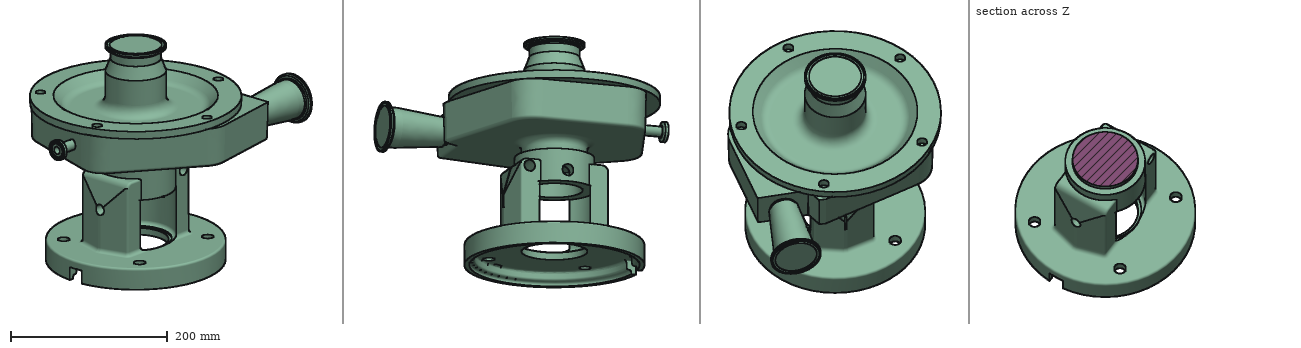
import cadquery as cq
import math

diagonal_share = math.sqrt(0.5)

base_height = 28.7
collar_bottom = 98.3
leg_top = 127.2
collar_top = 140.5
casing_bottom = 160.0
flange_bottom = 212.0
flange_top = 222.0
inlet_top = 291.0

base_radius = 115.0
base_edge_fillet = 3.0
base_bore_radius = 46.0
lip_radius = 42.0
lip_top = 27.0
recess_top = 17.7
recess_radius = 102.0
ogee_top = 8.7
ogee_radius = 3.3
base_hole_diameter = 15.0
base_hole_circle_radius = 92.0
base_hole_count = 4
base_hole_start_angle = 45.0
drain_slot_width = 20.4
drain_slot_height = recess_top
drain_slot_fillet = 1.5

collar_radius = 51.0
collar_bore_radius = 36.0
collar_bore_top = 130.0
collar_hole_diameter = 15.0
collar_hole_z = 113.2
leg_half_width = 39.0
leg_inner_radius = 52.0
leg_seat_radius = 49.0
leg_ridge_y = 70.1
leg_slant = 16.0
leg_ridge_flat_half_width = 2.3
leg_facet_start_z = 84.5
leg_top_fillet = 10.0
leg_edge_fillet = 3.0
leg_root_fillet = 5.5
selection_margin = 0.1
leg_hole_diameter = 13.8
leg_hole_z = 85.3
clamp_hole_diameter = 14.5
clamp_hole_y = 47.7
clamp_hole_z = 117.6
clamp_slit_width = 2.5
clamp_slit_bottom = 70.0

neck_radius = 42.0
neck_fillet = 10.0

casing_apothem = 115.0
casing_corner_radius = 35.0
casing_draft = 1.2
casing_bottom_fillet = 4.5
corner_step = 72.0
plain_corners = (2, 3, 4)
volute_reach_x = 140.42
volute_slope = 9.2
outlet_face_y = 114.8
rear_step_x = 58.0
rear_lug_x = 47.5
rear_lug_y = 133.3

flange_radius = 135.0
flange_hole_diameter = 12.7
flange_hole_circle_radius = 122.0
flange_hole_count = 5
dish_radius = 105.0
dish_depth = 15.0
dish_fillet = 15.0
dish_wall_angle = 45.0

inlet_radius = 39.0
inlet_neck_radius = 32.4
inlet_cone_bottom = 256.0
inlet_cone_top = 273.0
inlet_groove_radius = 35.0

outlet_x = 90.5
outlet_z = 186.5
outlet_end_y = 200.0
outlet_flange_radius = 32.3
outlet_pipe_radius = 25.8
outlet_groove_radius = 28.6
outlet_cone_end_y = 182.0
outlet_cone_start_y = 119.0
outlet_cone_start_radius = 19.2
outlet_root_radius = 16.6

rim_thickness = 2.8
rim_bevel_width = 2.2
rim_bevel_height = 1.6
rim_root_width = 1.5
rim_root_height = 0.85
rim_height = 7.0
rim_groove_half_width = 1.65

drain_z = 188.2
drain_end_y = -150.5
drain_pipe_radius = 6.8
drain_bore_radius = 4.9
drain_flange_radius = 13.2
drain_flange_thickness = 4.4
drain_bevel_top_radius = 8.5
drain_bevel_height = 2.0
drain_groove_radius = 10.0
drain_groove_half_width = 1.1
drain_inner_y = -100.0
drain_bore_depth = 28.0


def cylinder(radius, bottom, top):
    return cq.Workplane("XY").workplane(offset=bottom).circle(radius).extrude(top - bottom)


def polar(radius, angle):
    return radius * math.cos(math.radians(angle)), radius * math.sin(math.radians(angle))


def ring_groove(radius, half_width, level):
    profile = cq.Workplane("XZ").center(radius, level).circle(half_width)
    return profile.revolve(360, (-radius, 0, 0), (-radius, 1, 0))


def revolve_profile(profile):
    return profile.close().revolve(360, (0, 0, 0), (0, 1, 0))


def clamp_rim(profile, rim_radius, pipe_radius, end):
    """Continue a radius-height profile from a pipe wall over a clamp rim to the axis."""
    bevel_level = end - rim_thickness - rim_bevel_height
    return (
        profile.lineTo(pipe_radius, end - rim_height)
        .lineTo(pipe_radius + rim_root_width, bevel_level - rim_root_height)
        .lineTo(rim_radius - rim_bevel_width, bevel_level)
        .lineTo(rim_radius, end - rim_thickness)
        .lineTo(rim_radius, end)
        .lineTo(0, end)
    )


def make_base():
    base = cylinder(base_radius, 0, base_height)
    return base.faces(">Z").edges().fillet(base_edge_fillet)


def cut_base_openings(body):
    """Stepped bore, wide recess under the plate with a rounded rim, bolt holes and drain slot."""
    step_radius = recess_radius + ogee_radius
    mouth_radius = recess_radius + 2 * ogee_radius
    diagonal = ogee_radius * diagonal_share
    profile = (
        cq.Workplane("XZ")
        .moveTo(0, 0)
        .lineTo(mouth_radius, 0)
        .lineTo(mouth_radius, ogee_top - 2 * ogee_radius)
        .threePointArc(
            (step_radius + diagonal, ogee_top - 2 * ogee_radius + diagonal),
            (step_radius, ogee_top - ogee_radius),
        )
        .threePointArc(
            (step_radius - diagonal, ogee_top - diagonal),
            (recess_radius, ogee_top),
        )
        .lineTo(recess_radius, recess_top - ogee_radius)
        .threePointArc(
            (recess_radius - ogee_radius + diagonal, recess_top - ogee_radius + diagonal),
            (recess_radius - ogee_radius, recess_top),
        )
        .lineTo(lip_radius, recess_top)
        .lineTo(lip_radius, lip_top)
        .lineTo(base_bore_radius, lip_top)
        .lineTo(base_bore_radius, base_height)
        .lineTo(0, base_height)
    )
    holes = (
        cq.Workplane("XY")
        .polarArray(base_hole_circle_radius, base_hole_start_angle, 360, base_hole_count)
        .circle(base_hole_diameter / 2)
        .extrude(base_height)
    )
    slot = (
        cq.Workplane("XY")
        .box(drain_slot_width, base_radius, drain_slot_height, centered=(True, False, False))
        .edges("|Y and >Z")
        .fillet(drain_slot_fillet)
        .translate((0, -base_radius, 0))
    )
    return body.cut(revolve_profile(profile)).cut(holes).cut(slot)


def make_leg():
    """The leg on the +Y side, with its outer ridge and the slanted facet on top."""
    slant = math.tan(math.radians(leg_slant))
    corner_y = leg_ridge_y - leg_half_width * slant
    flat_y = leg_ridge_y - leg_ridge_flat_half_width * slant
    facet_top_y = leg_ridge_y - (leg_top - leg_facet_start_z) * slant
    plan = [
        (-leg_half_width, 0),
        (leg_half_width, 0),
        (leg_half_width, corner_y),
        (leg_ridge_flat_half_width, flat_y),
        (-leg_ridge_flat_half_width, flat_y),
        (-leg_half_width, corner_y),
    ]
    leg = cq.Workplane("XY").polyline(plan).close().extrude(leg_top)
    side = [
        (0, 0),
        (leg_ridge_y, 0),
        (leg_ridge_y, leg_facet_start_z),
        (facet_top_y, leg_top),
        (0, leg_top),
    ]
    side_limit = cq.Workplane("YZ").polyline(side).close().extrude(leg_half_width, both=True)
    leg = leg.intersect(side_limit)
    leg = leg.faces(">Z").edges(">Y").fillet(leg_top_fillet)
    outer_sides = leg.faces("<X or >X").edges("not(<Z or <Y)")
    leg = outer_sides.fillet(leg_edge_fillet)
    leg = leg.cut(cylinder(leg_inner_radius, 0, collar_bottom))
    return leg.cut(cylinder(leg_seat_radius, collar_bottom, leg_top))


def make_stand():
    """Base plate and two opposite legs, with fillets where the legs stand on the plate."""
    leg = make_leg()
    stand = make_base()
    for angle in (0, 180):
        stand = stand.union(leg.rotate((0, 0, 0), (0, 0, 1), angle))
    root_x = leg_half_width + selection_margin
    root_y = leg_ridge_y + selection_margin
    root_zone = cq.selectors.BoxSelector(
        (-root_x, -root_y, base_height - selection_margin),
        (root_x, root_y, base_height + selection_margin),
        boundingbox=True,
    )
    stand = stand.edges(root_zone).fillet(leg_root_fillet)
    return cut_base_openings(stand)


def make_collar():
    collar = cylinder(collar_radius, collar_bottom, collar_top)
    bore = cylinder(collar_bore_radius, collar_bottom, collar_bore_top)
    side_hole = (
        cq.Workplane("YZ")
        .center(0, collar_hole_z)
        .circle(collar_hole_diameter / 2)
        .extrude(-collar_radius)
    )
    return collar.cut(bore).cut(side_hole)


def cut_leg_openings(body):
    """Ridge hole in the -Y leg; clamping slit and cross hole in the +Y leg."""
    ridge_hole = (
        cq.Workplane("XZ")
        .center(0, leg_hole_z)
        .circle(leg_hole_diameter / 2)
        .extrude(leg_ridge_y)
    )
    clamp_hole = (
        cq.Workplane("YZ")
        .center(clamp_hole_y, clamp_hole_z)
        .circle(clamp_hole_diameter / 2)
        .extrude(leg_half_width, both=True)
    )
    slit = (
        cq.Workplane("XY")
        .box(
            clamp_slit_width,
            leg_ridge_y - collar_radius,
            leg_top - clamp_slit_bottom,
            centered=(True, False, False),
        )
        .translate((0, collar_radius, clamp_slit_bottom))
    )
    return body.cut(ridge_hole).cut(clamp_hole).cut(slit)


def make_neck():
    """Short neck that flares into the underside of the casing."""
    diagonal = neck_fillet * (1 - diagonal_share)
    flare_start = casing_bottom - neck_fillet
    profile = (
        cq.Workplane("XZ")
        .moveTo(0, collar_bore_top)
        .lineTo(collar_bore_radius, collar_bore_top)
        .lineTo(collar_bore_radius, collar_top)
        .lineTo(neck_radius, collar_top)
        .lineTo(neck_radius, flare_start)
        .threePointArc(
            (neck_radius + diagonal, casing_bottom - diagonal),
            (neck_radius + neck_fillet, casing_bottom),
        )
        .lineTo(neck_radius + neck_fillet, casing_bottom + casing_bottom_fillet)
        .lineTo(0, casing_bottom + casing_bottom_fillet)
    )
    return revolve_profile(profile)


def arc_point(center, angle):
    dx, dy = polar(casing_corner_radius, angle)
    return center[0] + dx, center[1] + dy


def make_casing():
    half_step = corner_step / 2
    corner_distance = (casing_apothem - casing_corner_radius) / math.cos(math.radians(half_step))

    wall_x, wall_y = polar(casing_apothem - casing_corner_radius, -half_step)
    direction_x, direction_y = polar(1, 90 - half_step)
    slide = (volute_reach_x - casing_corner_radius - wall_x) / direction_x
    volute_center = (volute_reach_x - casing_corner_radius, wall_y + slide * direction_y)

    tangent_x, tangent_y = arc_point(volute_center, volute_slope)
    volute_end_x = tangent_x - (outlet_face_y - tangent_y) * math.tan(math.radians(volute_slope))

    normal_x, normal_y = polar(1, corner_step + half_step)
    lug_start_x = (casing_apothem - rear_lug_y * normal_y) / normal_x

    outline = cq.Workplane("XY").workplane(offset=flange_bottom).moveTo(lug_start_x, rear_lug_y)
    for corner in plain_corners:
        angle = corner * corner_step
        center = polar(corner_distance, angle)
        outline = outline.lineTo(*arc_point(center, angle - half_step))
        outline = outline.threePointArc(arc_point(center, angle), arc_point(center, angle + half_step))
    outline = (
        outline.lineTo(*arc_point(volute_center, -half_step))
        .threePointArc(
            arc_point(volute_center, (volute_slope - half_step) / 2),
            (tangent_x, tangent_y),
        )
        .lineTo(volute_end_x, outlet_face_y)
        .lineTo(rear_step_x, outlet_face_y)
        .lineTo(rear_lug_x, rear_lug_y)
        .close()
    )
    casing = outline.extrude(casing_bottom - flange_bottom, taper=casing_draft)
    return casing.faces("<Z").edges().fillet(casing_bottom_fillet)


def make_flange():
    return cylinder(flange_radius, flange_bottom, flange_top)


def cut_flange_openings(body):
    """Bolt holes and the dish: a sloped wall, rounded into a flat floor and up to the inlet."""
    holes = (
        cq.Workplane("XY")
        .workplane(offset=flange_bottom)
        .polarArray(flange_hole_circle_radius, 0, 360, flange_hole_count)
        .circle(flange_hole_diameter / 2)
        .extrude(flange_top - flange_bottom)
    )
    floor = flange_top - dish_depth
    wall_angle = math.radians(dish_wall_angle)
    arc_middle = wall_angle / 2
    wall_drop = dish_depth - dish_fillet * (1 - math.cos(wall_angle))
    wall_end_radius = dish_radius - wall_drop / math.tan(wall_angle)
    floor_radius = wall_end_radius - dish_fillet * math.sin(wall_angle)
    flare_middle = dish_fillet * (1 - diagonal_share)
    profile = (
        cq.Workplane("XZ")
        .moveTo(dish_radius, flange_top)
        .lineTo(wall_end_radius, flange_top - wall_drop)
        .threePointArc(
            (
                floor_radius + dish_fillet * math.sin(arc_middle),
                floor + dish_fillet * (1 - math.cos(arc_middle)),
            ),
            (floor_radius, floor),
        )
        .lineTo(inlet_radius + dish_fillet, floor)
        .threePointArc(
            (inlet_radius + flare_middle, floor + flare_middle),
            (inlet_radius, floor + dish_fillet),
        )
    )
    return body.cut(holes).cut(revolve_profile(profile))


def make_inlet():
    profile = (
        cq.Workplane("XZ")
        .moveTo(0, flange_bottom)
        .lineTo(inlet_radius, flange_bottom)
        .lineTo(inlet_radius, inlet_cone_bottom)
        .lineTo(inlet_neck_radius, inlet_cone_top)
    )
    pipe = revolve_profile(clamp_rim(profile, inlet_radius, inlet_neck_radius, inlet_top))
    return pipe.cut(ring_groove(inlet_groove_radius, rim_groove_half_width, inlet_top))


def make_outlet():
    root_chamfer = outlet_cone_start_radius - outlet_root_radius
    profile = (
        cq.Workplane("XZ")
        .moveTo(0, outlet_face_y - casing_corner_radius)
        .lineTo(outlet_root_radius, outlet_face_y - casing_corner_radius)
        .lineTo(outlet_root_radius, outlet_cone_start_y - root_chamfer)
        .lineTo(outlet_cone_start_radius, outlet_cone_start_y)
        .lineTo(outlet_pipe_radius, outlet_cone_end_y)
    )
    pipe = revolve_profile(clamp_rim(profile, outlet_flange_radius, outlet_pipe_radius, outlet_end_y))
    pipe = pipe.cut(ring_groove(outlet_groove_radius, rim_groove_half_width, outlet_end_y))
    return pipe.rotate((0, 0, 0), (1, 0, 0), -90).translate((outlet_x, 0, outlet_z))


def make_drain():
    end = -drain_end_y
    bevel_start = end - drain_flange_thickness
    profile = (
        cq.Workplane("XZ")
        .moveTo(0, -drain_inner_y)
        .lineTo(drain_pipe_radius, -drain_inner_y)
        .lineTo(drain_pipe_radius, bevel_start - drain_bevel_height)
        .lineTo(drain_bevel_top_radius, bevel_start - drain_bevel_height)
        .lineTo(drain_flange_radius, bevel_start)
        .lineTo(drain_flange_radius, end)
        .lineTo(0, end)
    )
    pipe = revolve_profile(profile)
    pipe = pipe.cut(cylinder(drain_bore_radius, end - drain_bore_depth, end))
    pipe = pipe.cut(ring_groove(drain_groove_radius, drain_groove_half_width, end))
    return pipe.rotate((0, 0, 0), (1, 0, 0), 90).translate((0, 0, drain_z))


stand = cut_leg_openings(make_stand().union(make_collar()))
housing = cut_flange_openings(make_casing().union(make_flange()))
result = stand.union(make_neck()).union(housing)
result = result.union(make_inlet()).union(make_outlet()).union(make_drain())